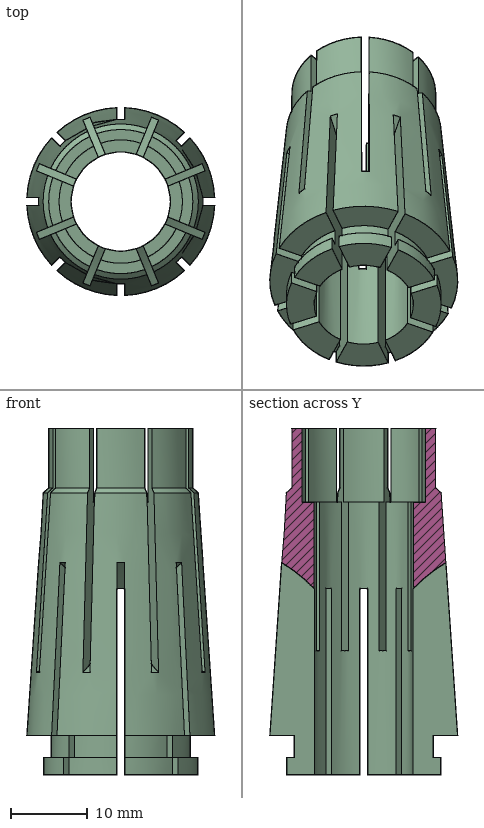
import cadquery as cq

total_height = 45.1
flange_radius = 10.05
flange_top = 2.25
neck_radius = 9.05
neck_top = 5.1
cone_bottom_diameter = 24.5
cone_bottom_radius = cone_bottom_diameter / 2
cone_top = 36.7
cone_top_radius = 10.1
collar_radius = 9.4
shoulder_height = 0.65
collar_bottom = cone_top + shoulder_height

bore_radius = 6.45
counterbore_radius = 8.05
counterbore_depth = 9.6

slot_count = 8
slot_pitch = 360 / slot_count
slot_width = 1.0
cutter_radius = 20.0
overrun = 2.25
bottom_slot_top = 30.4
bottom_cutter_offset = 20.9
top_slot_bottom = 12.18
top_cutter_offset = 18.4


def revolved_body():
    """Flange, neck, cone and collar with the stepped bore through them."""
    counterbore_floor = total_height - counterbore_depth
    profile = [
        (bore_radius, 0),
        (flange_radius, 0),
        (flange_radius, flange_top),
        (neck_radius, flange_top),
        (neck_radius, neck_top),
        (cone_bottom_radius, neck_top),
        (cone_top_radius, cone_top),
        (collar_radius, collar_bottom),
        (collar_radius, total_height),
        (counterbore_radius, total_height),
        (counterbore_radius, counterbore_floor),
        (bore_radius, counterbore_floor),
    ]
    return cq.Workplane("XZ").polyline(profile).close().revolve(360, (0, 0, 0), (0, 1, 0))


def slot_cutter(open_end, closed_end, cutter_offset):
    """Slot along +X, from the open end to the arc left by the disc, in Z.

    cutter_offset is the distance of the disc axis from the part axis.
    """
    direction = 1 if closed_end > open_end else -1
    disc_center = closed_end - direction * cutter_radius
    start = open_end - direction * overrun
    path = cq.Workplane("XZ").moveTo(cutter_offset, start)
    path = path.lineTo(cutter_offset - cutter_radius, start)
    path = path.lineTo(cutter_offset - cutter_radius, disc_center)
    middle = cutter_radius / 2**0.5
    path = path.threePointArc(
        (cutter_offset - middle, disc_center + direction * middle),
        (cutter_offset, closed_end),
    )
    return path.close().extrude(slot_width / 2, both=True)


def cut_slot_ring(body, cutter, first_angle):
    """Cut evenly spaced copies of the slot around the Z axis."""
    for index in range(slot_count):
        angle = first_angle + index * slot_pitch
        body = body.cut(cutter.rotate((0, 0, 0), (0, 0, 1), angle))
    return body


bottom_slot = slot_cutter(0, bottom_slot_top, bottom_cutter_offset)
top_slot = slot_cutter(total_height, top_slot_bottom, top_cutter_offset)

result = revolved_body()
result = cut_slot_ring(result, bottom_slot, 0)
result = cut_slot_ring(result, top_slot, slot_pitch / 2)